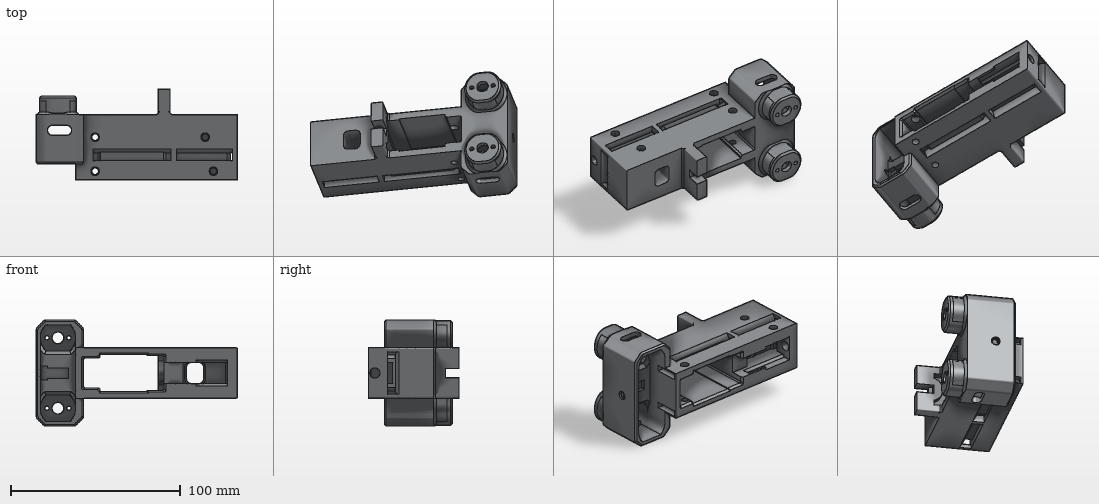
import cadquery as cq
import math


BOX_LEFT = 23.3
BOX_RIGHT = 118.75
BOX_DEPTH = 38.5
BOX_HEIGHT = 29.8
BOX_TOP = BOX_HEIGHT / 2
BOX_END_ROUND = 1.0

HEAD_WIDTH = 28.0
HEAD_DEPTH = 29.0
HEAD_HEIGHT = 62.7
HEAD_TOP = HEAD_HEIGHT / 2
HEAD_CORNER = 5.0
HEAD_CORNER_ROUND = 3.0
HEAD_RIM_CHAMFER = 1.0
HEAD_WALL = 2.5
HEAD_FLOOR_Y = -15.6
HEAD_BORE_RADIUS = (BOX_LEFT - HEAD_WALL) / 2
HEAD_BORE_FLAT = 7.7

KNOB_X = HEAD_WALL + HEAD_BORE_RADIUS
KNOB_Z = 20.75
KNOB_RADIUS = 10.9
KNOB_FLAT = 10.15
KNOB_FLAT_ROUND = 6.9
KNOB_LENGTH = 11.0
KNOB_RIM_CHAMFER = 1.1
KNOB_FLARE_HEIGHT = 1.7
KNOB_FLARE = 1.6
KNOB_FLAT_FLARE = 0.9
KNOB_END_WALL = 3.0
KNOB_HOLE = 6.8
KNOB_SCREW_HOLE = 2.4
KNOB_SCREW_OFFSET = 6.45
BORE_LEAD_IN = 2.1

VENT_LEFT = 6.8
VENT_LENGTH = 14.1
VENT_WIDTH = 5.8
VENT_Y = -9.25
SIDE_SCREW_Y = -17.0
NUT_POCKET_LEFT = 2.8
NUT_POCKET_RIGHT = 6.8
NUT_POCKET_HEIGHT = 8.3
SCREW_CHANNEL_RIGHT = 19.0
SCREW_CHANNEL_HEIGHT = 6.2
SCREW_CHANNEL_DEPTH = 2.6

CLEARANCE_HOLE = 5.0
THREAD_HOLE = 3.9
LEFT_SCREWS = [(34.8, -13.3), (34.8, -33.4)]
RIGHT_SCREWS = [(99.7, -13.3), (104.6, -33.4)]
RIGHT_STEP_Z = 11.0
RIGHT_BOTTOM_Z = 8.5
END_HOLE = 6.0
END_HOLE_Y = -34.7

TONGUE_LEFT = 72.0
TONGUE_WIDTH = 7.0
TONGUE_LENGTH = 15.0
TONGUE_EDGE = 0.8
TONGUE_FLARE = 1.0
TONGUE_SLOT_WIDTH = 5.3
TONGUE_SLOT_BOTTOM = 7.1
TONGUE_SLOT_STEP = 4.8

CAVITY_LEFT = 27.9
CAVITY_RIGHT = 75.5
CAVITY_END_Y = 4.6
CAVITY_NARROW = 8.75
CAVITY_WIDE = 10.8
CAVITY_MIDDLE = 10.2
CAVITY_STEP_LEFT = 36.8
CAVITY_STEP_RIGHT = 65.3
CAVITY_CORNER = 0.8
MOUTH_OFFSET = 1.1
MOUTH_DEPTH = 1.5
BOSS_RADIUS = 7.5
BOSS_Y = 6.7

BAY_HALF_HEIGHT = 6.25
BAY_LEDGE_Y = -30.1
BAY_LEDGE_RIGHT = 86.7
BAY_BACK_Y = -23.0
BAY_RIGHT = 112.8
BAY_BACK_CHAMFER = 1.2
BAY_PASSAGE_Y = BAY_BACK_Y - BAY_BACK_CHAMFER
GROOVE_LEFT = 82.1
GROOVE_MOUTH_LEFT = 94.4
GROOVE_HALF_HEIGHT = 7.7
GROOVE_LIP = 1.3
GROOVE_BACK_Y = -32.4
WINDOW_LEFT = 88.7
WINDOW_RIGHT = 98.8
WINDOW_HEIGHT = 12.4
WINDOW_ROUND = 3.0
WINDOW_CHAMFER = 1.1

SLOT_BACK_Y = -20.3
SLOT_FRONT_Y = -27.2
SLOT_LEAN = math.tan(math.radians(30))
SLOT_FLOOR = 10.6
RAISED_FLOOR = 11.8
SLOT_INNER_BACK_Y = SLOT_BACK_Y - SLOT_LEAN * (BOX_TOP - SLOT_FLOOR)
LEFT_SLOT_START = 33.7
LEFT_SLOT_END = 79.6
SLOT_LOW_LENGTH = 2.9
SLOT_RAMP_LENGTH = 1.5
RIGHT_SLOT_START = 82.7
RIGHT_SLOT_END = 115.8
RIGHT_SLOT_RAMP_X = 112.7
END_SLOT_INNER_X = 114.7
END_SLOT_HALF_HEIGHT = 12.5

GUIDE_BOTTOM = SLOT_FLOOR
GUIDE_TOP = 14.1
GUIDE_FRONT_Y = -37.2
GUIDE_BACK_Y = SLOT_INNER_BACK_Y
GUIDE_STOP_X = 28.0
GUIDE_BEND_X = 34.8
GUIDE_BEND_Y = -34.2


def block(x0, x1, y0, y1, z0, z1):
    """Axis-aligned box given by its limits."""
    return cq.Workplane("XY").box(x1 - x0, y1 - y0, z1 - z0, centered=False).translate((x0, y0, z0))


def rod(axis_plane, start, diameter, length):
    """Cylinder starting at a point and running along the normal of the named plane."""
    return cq.Workplane(axis_plane, origin=start).circle(diameter / 2).extrude(length)


def flattened_cylinder(radius, flat, y_front, y_back):
    """Cylinder along Y on the knob column, cut flat above and below; Z = 0 is its centre."""
    length = y_back - y_front
    cylinder = rod("XZ", (KNOB_X, y_back, 0), 2 * radius, length)
    return cylinder.intersect(block(KNOB_X - radius, KNOB_X + radius, y_front, y_back, -flat, flat))


def at_both_knobs(shape):
    """The shape, made around Z = 0, placed on the upper and the mirrored lower knob centre."""
    upper = shape.translate((0, 0, KNOB_Z))
    return upper.union(upper.mirror("XY"))


def make_box():
    body = block(BOX_LEFT, BOX_RIGHT, -BOX_DEPTH, 0, -BOX_TOP, BOX_TOP)
    return body.faces(">X").edges("|Y").fillet(BOX_END_ROUND)


def make_head():
    body = block(0, HEAD_WIDTH, -HEAD_DEPTH, 0, -HEAD_TOP, HEAD_TOP)
    body = body.edges("|Y").chamfer(HEAD_CORNER)
    body = body.edges("|Y").fillet(HEAD_CORNER_ROUND)
    return body.faces("<Y").chamfer(HEAD_RIM_CHAMFER)


def knob_prism(offset, flat_offset, y_front, y_back):
    """Rounded knob outline grown by one offset at its round sides and another at its flats."""
    prism = flattened_cylinder(KNOB_RADIUS + offset, KNOB_FLAT + flat_offset, y_front, y_back)
    return prism.edges("|Y").fillet(KNOB_FLAT_ROUND)


def make_knobs():
    knobs = at_both_knobs(knob_prism(0, 0, -1, KNOB_LENGTH).faces(">Y").chamfer(KNOB_RIM_CHAMFER))
    flare = knob_prism(KNOB_FLARE, KNOB_FLAT_FLARE, -1, KNOB_FLARE_HEIGHT)
    flare = flare.faces(">Y").chamfer(KNOB_FLARE_HEIGHT)
    head_column = block(0, HEAD_WIDTH, -HEAD_DEPTH, KNOB_LENGTH, -HEAD_TOP, HEAD_TOP)
    head_column = head_column.edges("|Y").chamfer(HEAD_CORNER)
    return knobs.union(at_both_knobs(flare).intersect(head_column))


def make_tongue():
    right = TONGUE_LEFT + TONGUE_WIDTH
    tongue = block(TONGUE_LEFT, right, -1, TONGUE_LENGTH, -BOX_TOP, BOX_TOP)
    tongue = tongue.edges("|Y").fillet(TONGUE_EDGE)
    flare = (
        cq.Workplane("XY", origin=(0, 0, -BOX_TOP))
        .moveTo(TONGUE_LEFT - TONGUE_FLARE, 0)
        .lineTo(TONGUE_LEFT + TONGUE_EDGE, TONGUE_FLARE + TONGUE_EDGE)
        .lineTo(right - TONGUE_EDGE, TONGUE_FLARE + TONGUE_EDGE)
        .lineTo(right + TONGUE_FLARE, 0)
        .lineTo(right + TONGUE_FLARE, -1)
        .lineTo(TONGUE_LEFT - TONGUE_FLARE, -1)
        .close()
        .extrude(BOX_HEIGHT)
    )
    half_slot = TONGUE_SLOT_WIDTH / 2
    slot = block(TONGUE_LEFT, right, TONGUE_SLOT_BOTTOM, TONGUE_LENGTH, -half_slot, half_slot)
    step = block(TONGUE_LEFT, CAVITY_RIGHT, TONGUE_SLOT_STEP, TONGUE_SLOT_BOTTOM, -half_slot, half_slot)
    return tongue.union(flare).cut(slot).cut(step)


def cavity_points(offset):
    """Upper half of the main cavity outline, grown by an offset, from left to right."""
    rise = CAVITY_WIDE - CAVITY_NARROW
    left = CAVITY_LEFT - offset
    right = CAVITY_RIGHT + offset
    narrow = CAVITY_NARROW + offset
    wide = CAVITY_WIDE + offset
    middle = CAVITY_MIDDLE + offset
    step_left = CAVITY_STEP_LEFT - offset / 2
    return [
        (left, narrow - CAVITY_CORNER),
        (left + CAVITY_CORNER, narrow),
        (step_left, narrow),
        (step_left + rise / 2, narrow + rise / 2),
        (step_left + rise / 2, wide),
        (CAVITY_STEP_RIGHT + offset, wide),
        (CAVITY_STEP_RIGHT + offset, middle),
        (right - CAVITY_CORNER, middle),
        (right, middle - CAVITY_CORNER),
    ]


def cavity_outline(y, offset):
    upper = cavity_points(offset)
    lower = [(x, -z) for x, z in reversed(upper)]
    return cq.Workplane("XZ", origin=(0, y, 0)).polyline(upper + lower).close()


def main_cavity():
    """Cavity through the box and into the tongue, with a chamfered mouth and a round boss left standing."""
    front_y = -BOX_DEPTH
    shaft = cavity_outline(CAVITY_END_Y, 0).extrude(BOX_DEPTH + CAVITY_END_Y)
    mouth = (
        cavity_outline(front_y, MOUTH_OFFSET)
        .workplane(offset=-MOUTH_DEPTH)
        .polyline(
            cavity_points(0) + [(x, -z) for x, z in reversed(cavity_points(0))]
        )
        .close()
        .loft(ruled=True, combine=True)
    )
    boss = rod("YZ", (TONGUE_LEFT, BOSS_Y, 0), 2 * BOSS_RADIUS, CAVITY_RIGHT - TONGUE_LEFT)
    return shaft.cut(boss).union(mouth)


def bay_groove():
    """Shallow groove in the bay floor with a sloped back; it breaks through the lip at its right part."""
    depth = GROOVE_HALF_HEIGHT - BAY_HALF_HEIGHT
    profile = [
        (-BOX_DEPTH + GROOVE_LIP, 0),
        (-BOX_DEPTH + GROOVE_LIP, -GROOVE_HALF_HEIGHT),
        (GROOVE_BACK_Y - depth, -GROOVE_HALF_HEIGHT),
        (GROOVE_BACK_Y, -BAY_HALF_HEIGHT),
        (GROOVE_BACK_Y, 0),
    ]
    groove = cq.Workplane("YZ", origin=(GROOVE_LEFT, 0, 0)).polyline(profile).close()
    groove = groove.extrude(BAY_RIGHT - GROOVE_LEFT)
    mouth = block(
        GROOVE_MOUTH_LEFT, BAY_RIGHT, -BOX_DEPTH, -BOX_DEPTH + GROOVE_LIP, -GROOVE_HALF_HEIGHT, 0
    )
    lower = groove.union(mouth)
    return lower.union(lower.mirror("XY"))


def bay_window():
    """Rounded window from the bay through the back of the box, chamfered on the bay side."""
    width = WINDOW_RIGHT - WINDOW_LEFT
    half = WINDOW_HEIGHT / 2
    hole = block(WINDOW_LEFT, WINDOW_RIGHT, BAY_BACK_Y, 0, -half, half)
    hole = hole.edges("|Y").fillet(WINDOW_ROUND)
    wide = cq.Workplane("XZ", origin=((WINDOW_LEFT + WINDOW_RIGHT) / 2, BAY_BACK_Y + WINDOW_CHAMFER, 0))
    wide = wide.rect(width + 2 * WINDOW_CHAMFER, WINDOW_HEIGHT + 2 * WINDOW_CHAMFER).extrude(WINDOW_CHAMFER)
    wide = wide.edges("|Y").fillet(WINDOW_ROUND + WINDOW_CHAMFER)
    lead_in = wide.faces(">Y").chamfer(WINDOW_CHAMFER * 0.99)
    return hole.union(lead_in)


def right_bay():
    front = block(CAVITY_RIGHT, BAY_RIGHT, -BOX_DEPTH, BAY_LEDGE_Y, -BAY_HALF_HEIGHT, BAY_HALF_HEIGHT)
    back = block(
        BAY_LEDGE_RIGHT, BAY_RIGHT, BAY_LEDGE_Y, BAY_BACK_Y, -BAY_HALF_HEIGHT, BAY_HALF_HEIGHT
    )
    back = back.edges(">X and >Y").chamfer(BAY_BACK_CHAMFER)
    return front.union(back).union(bay_groove()).union(bay_window())


def leaning_wedge(start_x, end_x):
    """Upper slot with an upright front wall and a leaning back wall."""
    section = [
        (SLOT_BACK_Y, BOX_TOP),
        (SLOT_INNER_BACK_Y, SLOT_FLOOR),
        (SLOT_FRONT_Y, SLOT_FLOOR),
        (SLOT_FRONT_Y, BOX_TOP),
    ]
    return cq.Workplane("YZ", origin=(start_x, 0, 0)).polyline(section).close().extrude(end_x - start_x)


def left_slot():
    """Left slot, with a raised floor between ramps near its two ends."""
    low_left = LEFT_SLOT_START + SLOT_LOW_LENGTH
    low_right = LEFT_SLOT_END - SLOT_LOW_LENGTH
    raised_floor = (
        cq.Workplane("XZ", origin=(0, SLOT_BACK_Y, 0))
        .moveTo(low_left, SLOT_FLOOR)
        .lineTo(low_left + SLOT_RAMP_LENGTH, RAISED_FLOOR)
        .lineTo(low_right - SLOT_RAMP_LENGTH, RAISED_FLOOR)
        .lineTo(low_right, SLOT_FLOOR)
        .close()
        .extrude(SLOT_BACK_Y - SLOT_FRONT_Y)
    )
    return leaning_wedge(LEFT_SLOT_START, LEFT_SLOT_END).cut(raised_floor)


def right_slot():
    """Right slot, whose floor drops at 45 degrees into the end slot."""
    run = END_SLOT_INNER_X - RIGHT_SLOT_RAMP_X
    ramp = (
        cq.Workplane("XZ", origin=(0, SLOT_INNER_BACK_Y, 0))
        .moveTo(RIGHT_SLOT_RAMP_X, SLOT_FLOOR)
        .lineTo(END_SLOT_INNER_X, SLOT_FLOOR)
        .lineTo(END_SLOT_INNER_X, SLOT_FLOOR - run)
        .close()
        .extrude(SLOT_INNER_BACK_Y - SLOT_FRONT_Y)
    )
    return leaning_wedge(RIGHT_SLOT_START, RIGHT_SLOT_END).union(ramp)


def end_slot():
    """Upright slot in the right end wall with a leaning back wall, and its passage into the bay."""
    section = [
        (BOX_RIGHT, SLOT_BACK_Y),
        (END_SLOT_INNER_X, SLOT_BACK_Y - SLOT_LEAN * (BOX_RIGHT - END_SLOT_INNER_X)),
        (END_SLOT_INNER_X, SLOT_FRONT_Y),
        (BOX_RIGHT, SLOT_FRONT_Y),
    ]
    slot = cq.Workplane("XY", origin=(0, 0, -END_SLOT_HALF_HEIGHT)).polyline(section).close()
    slot = slot.extrude(2 * END_SLOT_HALF_HEIGHT)
    passage = block(
        BAY_RIGHT, END_SLOT_INNER_X, SLOT_FRONT_Y, BAY_PASSAGE_Y, -BAY_HALF_HEIGHT, BAY_HALF_HEIGHT
    )
    return slot.union(passage)


def strap_slots():
    upper = left_slot().union(right_slot())
    return upper.union(upper.mirror("XY")).union(end_slot())


def guide_pockets():
    """Flat pockets in the left end that bend around the front screw."""
    bend = GUIDE_BEND_X - GUIDE_STOP_X
    middle = bend * math.sqrt(0.5)
    upper = (
        cq.Workplane("XY", origin=(0, 0, GUIDE_BOTTOM))
        .moveTo(BOX_LEFT, GUIDE_FRONT_Y)
        .lineTo(GUIDE_STOP_X, GUIDE_FRONT_Y)
        .lineTo(GUIDE_STOP_X, GUIDE_BEND_Y)
        .threePointArc(
            (GUIDE_BEND_X - middle, GUIDE_BEND_Y + middle), (GUIDE_BEND_X, GUIDE_BEND_Y + bend)
        )
        .lineTo(GUIDE_BEND_X, GUIDE_BACK_Y)
        .lineTo(BOX_LEFT, GUIDE_BACK_Y)
        .close()
        .extrude(GUIDE_TOP - GUIDE_BOTTOM)
    )
    return upper.union(upper.mirror("XY"))


def head_pocket():
    """Open front pocket of the head: two bores joined by a straight stretch."""
    bore = flattened_cylinder(HEAD_BORE_RADIUS, HEAD_BORE_FLAT, -HEAD_DEPTH, HEAD_FLOOR_Y)
    middle = block(HEAD_WALL, BOX_LEFT, -HEAD_DEPTH, HEAD_FLOOR_Y, -KNOB_Z, KNOB_Z)
    return at_both_knobs(bore).union(middle)


def knob_bores():
    """Bores in both knobs with a lead-in at the pocket floor, a centre hole and two screw holes each."""
    end_y = KNOB_LENGTH - KNOB_END_WALL
    bore = flattened_cylinder(HEAD_BORE_RADIUS, HEAD_BORE_FLAT, HEAD_FLOOR_Y, end_y)
    lead_in = flattened_cylinder(
        HEAD_BORE_RADIUS + BORE_LEAD_IN,
        HEAD_BORE_FLAT + BORE_LEAD_IN,
        HEAD_FLOOR_Y - 1,
        HEAD_FLOOR_Y + BORE_LEAD_IN,
    )
    lead_in = lead_in.faces(">Y").chamfer(BORE_LEAD_IN)
    pocket_column = block(
        HEAD_WALL, BOX_LEFT, HEAD_FLOOR_Y, 0, -KNOB_Z - HEAD_BORE_FLAT, HEAD_BORE_FLAT
    )
    pocket_column = pocket_column.intersect(
        flattened_cylinder(HEAD_BORE_RADIUS, HEAD_BORE_FLAT, HEAD_FLOOR_Y, 0)
        .union(block(HEAD_WALL, BOX_LEFT, HEAD_FLOOR_Y, 0, -KNOB_Z, 0))
    )
    bore = bore.union(lead_in.intersect(pocket_column))
    bore = bore.union(rod("XZ", (KNOB_X, KNOB_LENGTH, 0), KNOB_HOLE, KNOB_LENGTH))
    for side in (-1, 1):
        start = (KNOB_X + side * KNOB_SCREW_OFFSET, KNOB_LENGTH, 0)
        bore = bore.union(rod("XZ", start, KNOB_SCREW_HOLE, KNOB_LENGTH))
    return at_both_knobs(bore)


def head_vent():
    """Round-ended slot running down through the whole head."""
    center = (VENT_LEFT + VENT_LENGTH / 2, VENT_Y, -HEAD_TOP)
    return cq.Workplane("XY", origin=center).slot2D(VENT_LENGTH, VENT_WIDTH).extrude(HEAD_HEIGHT)


def side_screw_seat():
    """Stepped hole in the left wall with a nut pocket and screw channel in the pocket floor."""
    bottom_y = HEAD_FLOOR_Y + SCREW_CHANNEL_DEPTH
    half_nut = NUT_POCKET_HEIGHT / 2
    half_channel = SCREW_CHANNEL_HEIGHT / 2
    seat = rod("YZ", (0, SIDE_SCREW_Y, 0), CLEARANCE_HOLE, HEAD_WALL / 2)
    seat = seat.union(rod("YZ", (0, SIDE_SCREW_Y, 0), THREAD_HOLE, NUT_POCKET_RIGHT))
    seat = seat.union(
        block(NUT_POCKET_LEFT, NUT_POCKET_RIGHT, HEAD_FLOOR_Y, bottom_y, -half_nut, half_nut)
    )
    return seat.union(
        block(
            NUT_POCKET_RIGHT, SCREW_CHANNEL_RIGHT, HEAD_FLOOR_Y, bottom_y, -half_channel, half_channel
        )
    )


def stepped_hole(x, y, step_z, bottom_z):
    """Clearance hole from the top face that narrows to a thread hole."""
    upper = rod("XY", (x, y, step_z), CLEARANCE_HOLE, BOX_TOP - step_z)
    return upper.union(rod("XY", (x, y, bottom_z), THREAD_HOLE, step_z - bottom_z))


def box_screw_holes():
    """Through holes on the left, blind holes on the right and one hole in the right end."""
    holes = rod("YZ", (BAY_RIGHT, END_HOLE_Y, 0), END_HOLE, BOX_RIGHT - BAY_RIGHT)
    for x, y in LEFT_SCREWS:
        holes = holes.union(stepped_hole(x, y, 0, -BOX_TOP))
    for x, y in RIGHT_SCREWS:
        holes = holes.union(stepped_hole(x, y, RIGHT_STEP_Z, RIGHT_BOTTOM_Z))
    return holes


result = make_box().union(make_head()).union(make_knobs()).union(make_tongue())
for cutter in (
    head_pocket(),
    knob_bores(),
    head_vent(),
    side_screw_seat(),
    main_cavity(),
    right_bay(),
    strap_slots(),
    guide_pockets(),
    box_screw_holes(),
):
    result = result.cut(cutter)